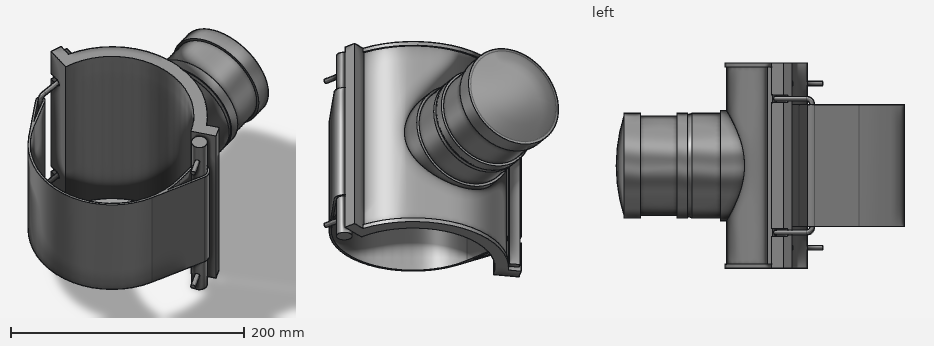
import cadquery as cq
import math


bore_radius = 70.1
rim_radius = 81.7
saddle_radius = 80.3
height = 176.0
half_height = height / 2
rim_height = 3.7
flange_angle = 20.0
flange_end_radius = 92.4
flange_thickness = 10.5

collar_radius = 94.5 / 2
socket_radius = 90.0 / 2
pipe_radius = 85.5 / 2
groove_radius = 44.0
branch_root = 49.5
collar_top = 85.5
groove_start = 110.0
groove_end = 113.5
socket_top = 122.7
cap_start = 153.8
cap_end = 168.2
dome_top = 174.8

strap_thickness = 2.0
strap_half_width = 52.4
strap_radius = bore_radius + strap_thickness

rod_radius = 13.5 / 2
rod_x = 79.3
rod_y = 17.8
screw_radius = 4.2 / 2
screw_z = 70.5
screw_reach = 20.7

bolt_radius = 4.2 / 2
bolt_x = 80.3
bolt_y = 7.0
bolt_leg_z = 57.3
bolt_bend_radius = 4.7
slot_width = 6.7
slot_end_radius = 79.8
bar_inner = 81.0
bar_outer = 90.5
bar_thickness = 4.7
bar_half_length = half_height - rim_height


def polar(radius, angle, center=(0, 0)):
    """Point at a radius and an angle in degrees about a center."""
    turn = math.radians(angle)
    return (center[0] + radius * math.cos(turn), center[1] + radius * math.sin(turn))


def flange_point(outward, above):
    """Point on the right side: distance out along the flange face and height above that face."""
    base = polar(outward, flange_angle)
    return polar(above, flange_angle + 90, base)


def slab(half_length):
    """Workplane at the bottom of a slab centered on Z = 0."""
    return cq.Workplane("XY").workplane(offset=-half_length)


def flange_block(inner, outer, bottom, top, half_length):
    """Right-hand block aligned with the flange, centered on Z = 0."""
    corners = [
        flange_point(inner, bottom),
        flange_point(outer, bottom),
        flange_point(outer, top),
        flange_point(inner, top),
    ]
    return slab(half_length).polyline(corners).close().extrude(2 * half_length)


def sector(inner, outer, start, end, half_length, center=(0, 0)):
    """Part of a ring between two angles, centered on Z = 0."""
    middle = (start + end) / 2
    return (
        slab(half_length)
        .moveTo(*polar(inner, start, center))
        .lineTo(*polar(outer, start, center))
        .threePointArc(polar(outer, middle, center), polar(outer, end, center))
        .lineTo(*polar(inner, end, center))
        .threePointArc(polar(inner, middle, center), polar(inner, start, center))
        .close()
        .extrude(2 * half_length)
    )


def make_branch():
    """Solid stepped branch with a snap groove and a domed cap."""
    groove_width = groove_end - groove_start
    groove_depth = socket_radius - groove_radius
    groove_arc_radius = (groove_width**2 + groove_depth**2) / (2 * groove_depth)
    groove_half_angle = math.asin(groove_width / groove_arc_radius) / 2
    groove_middle = (
        groove_radius + groove_arc_radius * (1 - math.cos(groove_half_angle)),
        groove_end - groove_arc_radius * math.sin(groove_half_angle),
    )
    half_chord = pipe_radius
    dome_height = dome_top - cap_end
    dome_radius = (half_chord**2 + dome_height**2) / (2 * dome_height)
    dome_half_angle = math.asin(half_chord / dome_radius) / 2
    dome_middle = (
        dome_radius * math.sin(dome_half_angle),
        dome_top - dome_radius * (1 - math.cos(dome_half_angle)),
    )
    return (
        cq.Workplane("XY")
        .moveTo(0, branch_root)
        .lineTo(collar_radius, branch_root)
        .lineTo(collar_radius, collar_top)
        .lineTo(socket_radius, collar_top)
        .lineTo(socket_radius, groove_start)
        .threePointArc(groove_middle, (groove_radius, groove_end))
        .lineTo(socket_radius, groove_end)
        .lineTo(socket_radius, socket_top)
        .lineTo(pipe_radius, socket_top)
        .lineTo(pipe_radius, cap_start)
        .lineTo(socket_radius, cap_start)
        .lineTo(socket_radius, cap_end)
        .lineTo(half_chord, cap_end)
        .threePointArc(dome_middle, (0, dome_top))
        .close()
        .revolve(360, (0, 0, 0), (0, 1, 0))
    )


def make_bolt_slot(z):
    """Round-ended slot cutter through the left flange."""
    center_radius = slot_end_radius + slot_width / 2
    tilt = math.radians(flange_angle)
    outward = (-math.cos(tilt), math.sin(tilt), 0)
    normal = (math.sin(tilt), math.cos(tilt), 0)
    origin = (center_radius * outward[0], center_radius * outward[1], z)
    plane = cq.Plane(origin=origin, xDir=outward, normal=normal)
    length = flange_end_radius - slot_end_radius
    round_end = cq.Workplane(plane).circle(slot_width / 2).extrude(flange_thickness)
    channel = cq.Workplane(plane).rect(length, slot_width).extrude(flange_thickness)
    channel = channel.translate((outward[0] * length / 2, outward[1] * length / 2, 0))
    return round_end.union(channel)


def make_saddle():
    """Half-shell saddle with end rims, two flanges and the branch."""
    arc = (flange_angle, 180 - flange_angle)
    shell_middle = (bore_radius + saddle_radius) / 2
    saddle = sector(bore_radius, saddle_radius, *arc, half_height)
    for side in (-1, 1):
        rim = sector(bore_radius, rim_radius, *arc, rim_height / 2)
        saddle = saddle.union(rim.translate((0, 0, side * (half_height - rim_height / 2))))

    flange = flange_block(shell_middle, flange_end_radius, 0, flange_thickness, half_height)
    saddle = saddle.union(flange).union(flange.mirror("YZ"))

    hollow = slab(half_height).circle(shell_middle).extrude(2 * half_height)
    saddle = saddle.union(make_branch().cut(hollow))
    for side in (-1, 1):
        saddle = saddle.cut(make_bolt_slot(side * bolt_leg_z))
    return saddle


def strand(start, end, toward):
    """Flat strap length whose thickness lies in the direction of the given angle."""
    corners = [start, end, polar(strap_thickness, toward, end), polar(strap_thickness, toward, start)]
    return slab(strap_half_width).polyline(corners).close().extrude(2 * strap_half_width)


def end_tangents(core_x, core_y, core_radius):
    """Angles where the outer and inner strands of a right-hand strap end leave the ring."""
    distance = math.hypot(core_x, core_y)
    bearing = math.degrees(math.atan2(core_y, core_x))
    loop_radius = core_radius + strap_thickness
    outer = bearing - math.degrees(math.acos((strap_radius - loop_radius) / distance))
    inner = bearing - math.degrees(math.acos((bore_radius + loop_radius) / distance))
    return outer, inner


def make_strap_end(core_x, core_y, core_radius):
    """Right-hand strap end looped around a round core, with strands tangent to ring and loop."""
    core = (core_x, core_y)
    loop_radius = core_radius + strap_thickness
    outer, inner = end_tangents(core_x, core_y, core_radius)
    loop = sector(core_radius, loop_radius, outer, inner + 180, strap_half_width, core)
    outer_strand = strand(polar(strap_radius, outer), polar(loop_radius, outer, core), outer + 180)
    inner_strand = strand(polar(bore_radius, inner), polar(loop_radius, inner + 180, core), inner)
    return loop.union(outer_strand).union(inner_strand)


def make_strap():
    """Strap ring around the lower half of the pipe, with a loop at each end."""
    right_inner = end_tangents(rod_x, rod_y, rod_radius)[1]
    left_inner = end_tangents(bolt_x, bolt_y, bolt_radius)[1]
    ring = sector(bore_radius, strap_radius, -180 - left_inner, right_inner, strap_half_width)
    rod_end = make_strap_end(rod_x, rod_y, rod_radius)
    bolt_end = make_strap_end(bolt_x, bolt_y, bolt_radius).mirror("YZ")
    return ring.union(rod_end).union(bolt_end)


def make_rod():
    """Clamp rod crossed by two screws that press on the right flange."""
    rod = slab(half_height).center(rod_x, rod_y).circle(rod_radius).extrude(2 * half_height)
    tilt = math.radians(flange_angle)
    gap = rod_x * math.sin(tilt) - rod_y * math.cos(tilt)
    direction = cq.Vector(math.sin(tilt), -math.cos(tilt), 0)
    for side in (-1, 1):
        start = cq.Vector(rod_x, rod_y, side * screw_z) - direction * gap
        screw = cq.Solid.makeCylinder(screw_radius, gap + screw_reach, start, direction)
        rod = rod.union(cq.Workplane(screw))
    return rod


def make_bolt():
    """U-bolt held by a flat bar that lies on the left flange."""
    bar = flange_block(
        bar_inner, bar_outer, flange_thickness, flange_thickness + bar_thickness, bar_half_length
    ).mirror("YZ")
    bar_x, bar_y = flange_point((bar_inner + bar_outer) / 2, flange_thickness + bar_thickness / 2)
    leg = cq.Vector(bolt_x - bar_x, bar_y - bolt_y, 0)
    plane = cq.Plane(origin=(-bolt_x, bolt_y, 0), xDir=leg, normal=leg.cross(cq.Vector(0, 0, 1)))
    bend_shift = bolt_bend_radius * (1 - math.sqrt(0.5))
    straight_z = bolt_leg_z - bolt_bend_radius
    path = (
        cq.Workplane(plane)
        .moveTo(leg.Length, -bolt_leg_z)
        .lineTo(bolt_bend_radius, -bolt_leg_z)
        .threePointArc((bend_shift, bend_shift - bolt_leg_z), (0, -straight_z))
        .lineTo(0, straight_z)
        .threePointArc((bend_shift, bolt_leg_z - bend_shift), (bolt_bend_radius, bolt_leg_z))
        .lineTo(leg.Length, bolt_leg_z)
    )
    leg_end = plane.toWorldCoords((leg.Length, -bolt_leg_z))
    section = cq.Plane(origin=leg_end, normal=leg)
    bolt = cq.Workplane(section).circle(bolt_radius).sweep(path)
    return bar.union(bolt)


saddle = make_saddle()
clamp = make_strap().union(make_rod()).union(make_bolt())
result = cq.Compound.makeCompound([*saddle.solids().vals(), *clamp.solids().vals()])